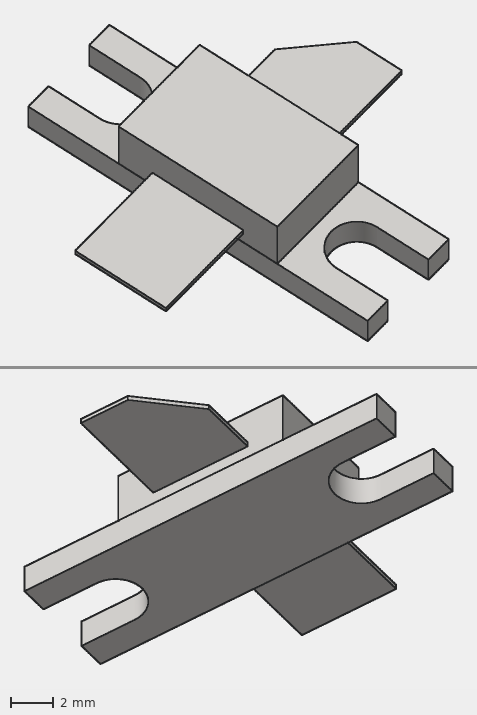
import cadquery as cq

flange_length = 20.5
body_width = 6.2
flange_thickness = 1.6
slot_width = 3.1
slot_spacing = 14.3

total_height = 4.5
housing_length = 9.6
housing_height = total_height - flange_thickness

lead_span = 18.0
lead_width = 5.5
lead_thickness = 0.27
lead_clearance = 0.7
lead_bottom = flange_thickness + lead_clearance
lead_reach = (lead_span - body_width) / 2
lead_bevel = lead_width / 2


def block(length, width, height, bottom):
    """Box centred on the Z axis, standing on the given height."""
    return (
        cq.Workplane("XY")
        .workplane(offset=bottom)
        .box(length, width, height, centered=(True, True, False))
    )


def make_slot(side):
    """Cutter for the round-ended slot at the -X (side = -1) or +X (side = 1) end."""
    slot_centre = side * slot_spacing / 2
    flange_end = side * flange_length / 2
    half_width = slot_width / 2
    return (
        cq.Workplane("XY")
        .moveTo(flange_end, -half_width)
        .lineTo(slot_centre, -half_width)
        .threePointArc((slot_centre - side * half_width, 0), (slot_centre, half_width))
        .lineTo(flange_end, half_width)
        .close()
        .extrude(flange_thickness)
    )


def make_flange():
    flange = block(flange_length, body_width, flange_thickness, 0)
    for side in (-1, 1):
        flange = flange.cut(make_slot(side))
    return flange


def make_lead(side):
    """Flat lead on the -Y (side = -1) or +Y (side = 1) face of the housing."""
    lead_centre = side * (body_width + lead_reach) / 2
    return block(lead_width, lead_reach, lead_thickness, lead_bottom).translate((0, lead_centre, 0))


def make_housing():
    plain_lead = make_lead(-1)
    marked_lead = make_lead(1).edges("|Z and <X and >Y").chamfer(lead_bevel)
    housing = block(housing_length, body_width, housing_height, flange_thickness)
    return housing.union(plain_lead).union(marked_lead)


flange = make_flange()
housing = make_housing()

result = cq.Compound.makeCompound([flange.val(), housing.val()])